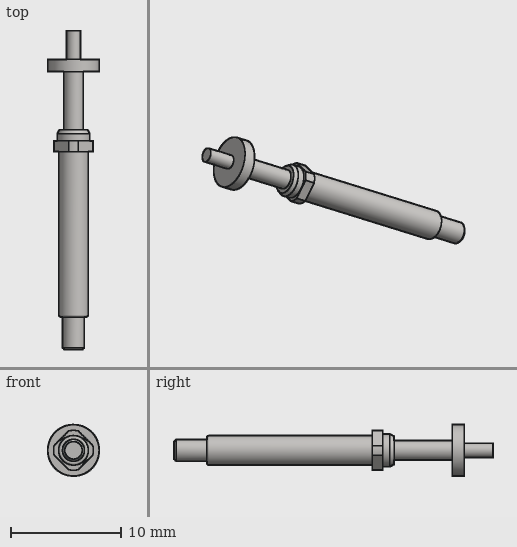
import cadquery as cq

length = 29.0
rear_end = length / 2

disc_rear = 2.6
disc_front = 3.7
collar_rear = 9.0
nut_rear = 10.0
nut_front = 11.0
barrel_front = 26.0

pin_diameter = 1.3
disc_diameter = 4.7
plunger_diameter = 1.8
collar_diameter = 3.0
nut_diameter = 3.62
nut_across_flats = 3.1
barrel_diameter = 2.7
tip_diameter = 2.0

collar_chamfer_length = 0.38
collar_chamfer_depth = 0.2
barrel_fillet = 0.2
tip_chamfer = 0.2


def cylinder(diameter, start, end):
    """Round section between two distances from the rear end."""
    plane = cq.Workplane("XZ", origin=(0, rear_end - start, 0))
    return plane.circle(diameter / 2).extrude(end - start)


def make_nut():
    """Round flange with four flats at 45 degrees to X and Z."""
    flange = cylinder(nut_diameter, nut_rear, nut_front)
    flats = (
        cq.Workplane("XZ", origin=(0, rear_end - nut_rear, 0))
        .rect(nut_across_flats, nut_across_flats)
        .extrude(nut_front - nut_rear)
        .rotate((0, 0, 0), (0, 1, 0), 45)
    )
    return flange.intersect(flats)


pin = cylinder(pin_diameter, 0, disc_rear)
disc = cylinder(disc_diameter, disc_rear, disc_front)
plunger = cylinder(plunger_diameter, disc_front, collar_rear)
collar = cylinder(collar_diameter, collar_rear, nut_rear)
collar = collar.faces(">Y").chamfer(collar_chamfer_length, collar_chamfer_depth)
nut = make_nut()
barrel = cylinder(barrel_diameter, nut_front, barrel_front)
barrel = barrel.faces("<Y").fillet(barrel_fillet)
tip = cylinder(tip_diameter, barrel_front, length)
tip = tip.faces("<Y").chamfer(tip_chamfer)

result = pin
for section in (disc, plunger, collar, nut, barrel, tip):
    result = result.union(section)